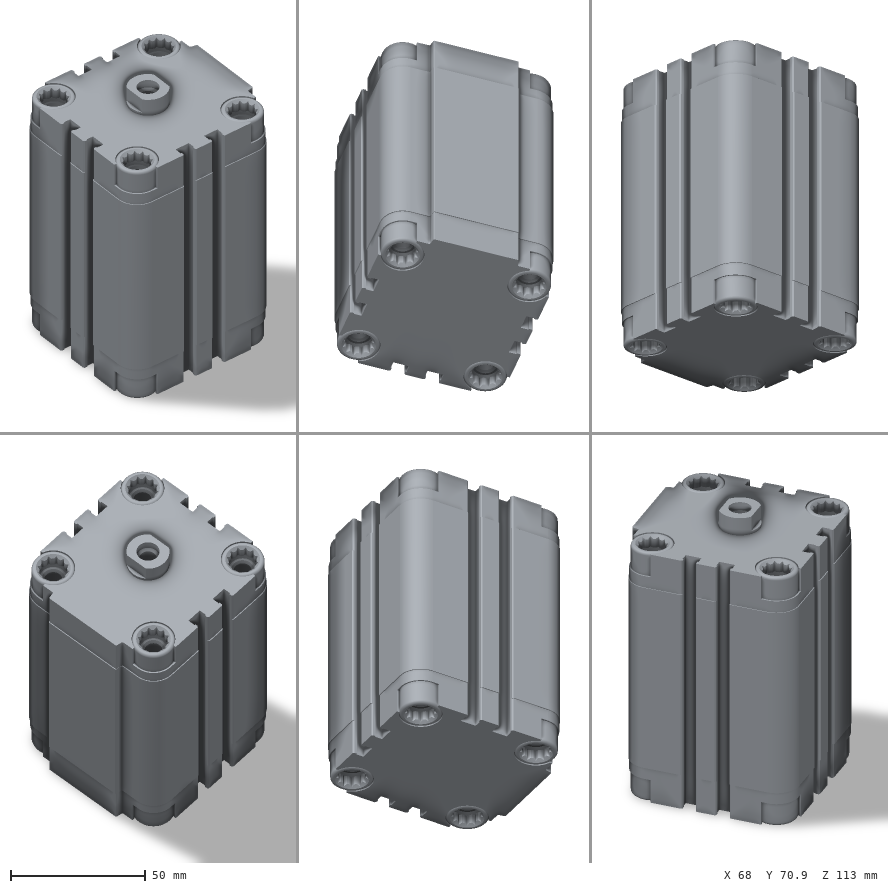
import cadquery as cq
import math

total_height = 113.0
housing_height = 105.7
cap_height = 14.5

barrel_half = 34.0
cap_inset = 0.3
cap_half = barrel_half - cap_inset
bolt_offset = 25.0

rail_rise = 2.9
rail_top_half = 16.7
rail_base_half = 17.3
rail_edge_fillet = 0.5
rail_root_fillet = 0.6

slot_offset = 6.8
slot_neck_width = 5.4
slot_pocket_width = 6.3
slot_neck_depth = 1.9
slot_depth = 5.0
slot_mouth_chamfer = 0.5

notch_height = 9.6
notch_half = 2.7
head_diameter = 16.3
head_fillet = 1.1
socket_mouth_diameter = 12.9
socket_point_diameter = 12.0
socket_core_diameter = 10.4
socket_star_depth = 4.9
socket_squares = 3
socket_relief_diameter = 10.2
socket_relief_depth = 1.4
screw_sink_diameter = 8.4
screw_bore_diameter = 6.7

rod_diameter = 16.0
rod_bottom = housing_height - cap_height
rod_flat_width = 13.0
rod_flat_height = 6.1
rod_counterbore_diameter = 8.6
rod_counterbore_depth = 3.4
rod_bore_diameter = 6.7
rod_bore_depth = 12.0
drill_point_angle = 118.0


def section(half, height, z):
    """Rounded square with the trapezoidal rail on its +Y side, its edges and roots rounded."""
    block = (
        cq.Workplane("XY", origin=(0, 0, z))
        .rect(2 * half, 2 * half)
        .extrude(height)
        .edges("|Z")
        .fillet(half - bolt_offset)
    )
    rail = (
        cq.Workplane("XY", origin=(0, 0, z))
        .polyline([
            (-rail_base_half, 0),
            (-rail_base_half, half),
            (-rail_top_half, half + rail_rise),
            (rail_top_half, half + rail_rise),
            (rail_base_half, half),
            (rail_base_half, 0),
        ])
        .close()
        .extrude(height)
        .edges("|Z and >Y")
        .fillet(rail_edge_fillet)
    )
    roots = cq.selectors.BoxSelector(
        (-rail_base_half - rail_root_fillet, half - rail_root_fillet, z),
        (rail_base_half + rail_root_fillet, half + rail_root_fillet, z + height),
    )
    return block.union(rail).edges("|Z").edges(roots).fillet(rail_root_fillet)


def slot_cutter(half, height, z):
    """One T-shaped slot with a chamfered mouth, cut into the -Y side."""
    neck = slot_neck_width / 2
    pocket = slot_pocket_width / 2
    mouth = neck + slot_mouth_chamfer
    neck_end = -barrel_half + slot_neck_depth
    floor = -barrel_half + slot_depth
    right = [
        (mouth, -half),
        (neck, -half + slot_mouth_chamfer),
        (neck, neck_end),
        (pocket, neck_end),
        (pocket, floor),
    ]
    left = [(-x, y) for x, y in reversed(right)]
    return cq.Workplane("XY", origin=(0, 0, z)).polyline(right + left).close().extrude(height)


def slotted_section(half, height, z):
    body = section(half, height, z)
    for side_angle in (-90, 0, 90):
        for offset in (-slot_offset, slot_offset):
            cutter = slot_cutter(half, height, z).translate((offset, 0, 0))
            body = body.cut(cutter.rotate((0, 0, 0), (0, 0, 1), side_angle))
    return body


def screw_corner_notch():
    """Square corner relief at the top of the +X +Y corner."""
    size = cap_half - bolt_offset + notch_half
    corner = bolt_offset - notch_half
    return cq.Workplane("XY").box(size, size, notch_height, centered=False).translate(
        (corner, corner, housing_height - notch_height)
    )


def screw_head_blank():
    """Full cylinder of a screw head, its top level with the housing's top face."""
    return (
        cq.Workplane("XY", origin=(bolt_offset, bolt_offset, housing_height - notch_height))
        .circle(head_diameter / 2)
        .extrude(notch_height)
    )


def screw_head():
    return screw_head_blank().faces(">Z").edges().fillet(head_fillet)


def socket_cutter():
    """Twelve-point spline socket: conical mouth, blunted star, conical relief and countersink."""
    mouth_radius = socket_mouth_diameter / 2
    point_radius = socket_point_diameter / 2
    core_radius = socket_core_diameter / 2
    relief_radius = socket_relief_diameter / 2
    sink_radius = screw_sink_diameter / 2
    bore_radius = screw_bore_diameter / 2
    relief_z = -socket_star_depth - socket_relief_depth
    cutter = (
        cq.Workplane("XZ")
        .polyline([
            (0, 0),
            (mouth_radius, 0),
            (core_radius, core_radius - mouth_radius),
            (core_radius, -socket_star_depth),
            (point_radius, -socket_star_depth),
            (relief_radius, relief_z),
            (sink_radius, relief_z),
            (bore_radius, relief_z - sink_radius + bore_radius),
            (0, relief_z - sink_radius + bore_radius),
        ])
        .close()
        .revolve(360, (0, 0, 0), (0, 1, 0))
    )
    for i in range(socket_squares):
        square = cq.Workplane("XY").polygon(4, socket_point_diameter).extrude(-socket_star_depth)
        cutter = cutter.union(square.rotate((0, 0, 0), (0, 0, 1), i * 90 / socket_squares))
    return cutter.translate((bolt_offset, bolt_offset, housing_height))


def at_all_corners(shape):
    """Copies of a +X +Y top-corner shape at the four corners of both caps."""
    copies = []
    for corner in range(4):
        upper = shape.rotate((0, 0, 0), (0, 0, 1), 90 * corner)
        lower = upper.mirror("XY").translate((0, 0, housing_height))
        copies += [upper, lower]
    return copies


def make_housing():
    barrel_height = housing_height - 2 * cap_height
    body = slotted_section(cap_half, cap_height, 0)
    body = body.union(slotted_section(barrel_half, barrel_height, cap_height))
    body = body.union(slotted_section(cap_half, cap_height, housing_height - cap_height))

    for removed in (screw_corner_notch(), screw_head_blank()):
        for cutter in at_all_corners(removed):
            body = body.cut(cutter)
    for head in at_all_corners(screw_head()):
        body = body.union(head)
    for socket in at_all_corners(socket_cutter()):
        body = body.cut(socket)

    screw_bores = (
        cq.Workplane("XY")
        .rect(2 * bolt_offset, 2 * bolt_offset, forConstruction=True)
        .vertices()
        .circle(screw_bore_diameter / 2)
        .extrude(housing_height)
    )
    rod_hole = (
        cq.Workplane("XY", origin=(0, 0, rod_bottom))
        .circle(rod_diameter / 2)
        .extrude(housing_height - rod_bottom)
    )
    return body.cut(screw_bores).cut(rod_hole)


def make_rod():
    rod = (
        cq.Workplane("XY", origin=(0, 0, rod_bottom))
        .circle(rod_diameter / 2)
        .extrude(total_height - rod_bottom)
    )
    across_flats = (
        cq.Workplane("XY", origin=(0, 0, total_height - rod_flat_height))
        .rect(rod_diameter, rod_flat_width)
        .extrude(rod_flat_height)
    )
    shank = (
        cq.Workplane("XY", origin=(0, 0, rod_bottom))
        .rect(rod_diameter, rod_diameter)
        .extrude(total_height - rod_flat_height - rod_bottom)
    )
    rod = rod.intersect(across_flats.union(shank))

    bore_radius = rod_bore_diameter / 2
    counterbore_radius = rod_counterbore_diameter / 2
    counterbore_z = total_height - rod_counterbore_depth
    point_height = bore_radius / math.tan(math.radians(drill_point_angle / 2))
    bore = (
        cq.Workplane("XZ")
        .polyline([
            (0, total_height),
            (counterbore_radius, total_height),
            (counterbore_radius, counterbore_z),
            (bore_radius, counterbore_z - counterbore_radius + bore_radius),
            (bore_radius, total_height - rod_bore_depth),
            (0, total_height - rod_bore_depth - point_height),
        ])
        .close()
        .revolve(360, (0, 0, 0), (0, 1, 0))
    )
    return rod.cut(bore)


housing = make_housing()
rod = make_rod()

result = cq.Compound.makeCompound([housing.val(), rod.val()])